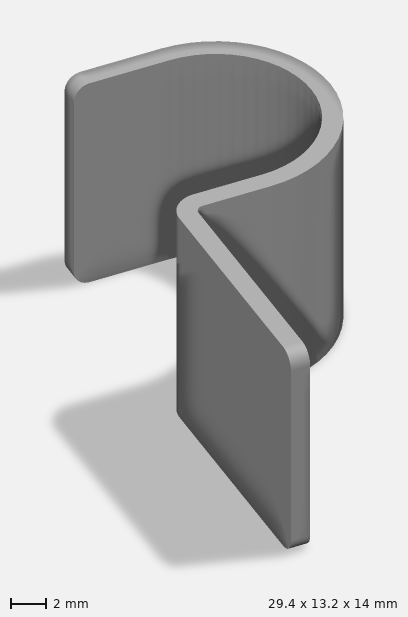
import cadquery as cq

length = 29.4
width = 14.0
thickness = 1.2
loop_radius = 7.2
leg_length = 6.0
bend_inner_radius = 0.5
corner_radius = 1.0

loop_inner_radius = loop_radius - thickness
bend_outer_radius = bend_inner_radius + thickness
flange_end = length - loop_radius
base = -leg_length
flange_back = base + thickness


def make_strip():
    """Constant-thickness strip: free leg, half-round loop, second leg and flange."""
    strip = (
        cq.Workplane("XY")
        .moveTo(-loop_radius, base)
        .lineTo(-loop_radius, 0)
        .threePointArc((0, loop_radius), (loop_radius, 0))
        .lineTo(loop_radius, flange_back)
        .lineTo(flange_end, flange_back)
        .lineTo(flange_end, base)
        .lineTo(loop_inner_radius, base)
        .lineTo(loop_inner_radius, 0)
        .threePointArc((0, loop_inner_radius), (-loop_inner_radius, 0))
        .lineTo(-loop_inner_radius, base)
        .close()
        .extrude(width)
    )
    return strip


def round_bend(strip):
    """Round both sides of the bend concentrically."""
    inner_edge = cq.selectors.NearestToPointSelector((loop_radius, flange_back, width / 2))
    outer_edge = cq.selectors.NearestToPointSelector((loop_inner_radius, base, width / 2))
    strip = strip.edges("|Z").edges(inner_edge).fillet(bend_inner_radius)
    return strip.edges("|Z").edges(outer_edge).fillet(bend_outer_radius)


def round_free_corners(strip):
    """Round the two corners at the flange end and the two at the free leg end."""
    strip = strip.faces(">X").edges("|Y").fillet(corner_radius)
    leg_end = cq.selectors.NearestToPointSelector((-loop_radius + thickness / 2, base, width / 2))
    return strip.faces("<Y").faces(leg_end).edges("|X").fillet(corner_radius)


result = round_free_corners(round_bend(make_strip()))